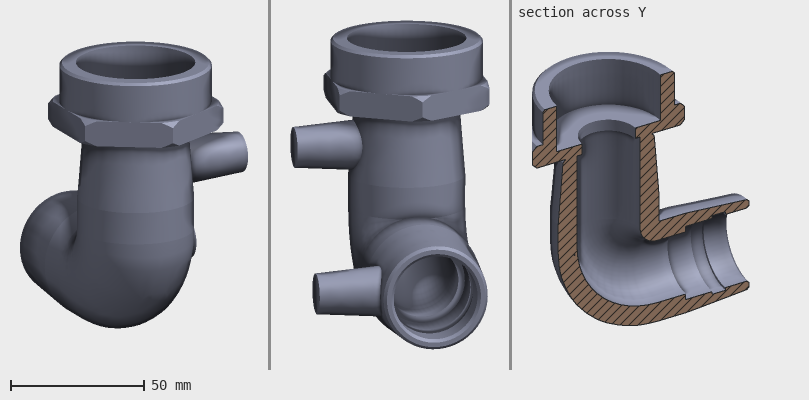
import cadquery as cq
import math

pipe_diameter = 44.0
pipe_radius = pipe_diameter / 2
bore_diameter = 27.1
bend_radius = 21.3
taper_start = 33.5
leg_length = 61.0
tip_chamfer = 1.1
tip_radius = 19.9

mouth_diameter = 34.1
socket_diameter = 32.0
socket_depth = leg_length - taper_start
groove_diameter = 34.3
groove_start = 10.5
groove_end = 16.1

nut_diameter = 57.2
nut_bottom = 61.2
hex_height = 9.7
overall_height = 108.0
nut_top = overall_height - pipe_radius
hex_chamfer = 1.9
collar_chamfer = 1.0
recess_diameter = 44.8
recess_depth = 20.0
nut_bore_diameter = 23.0

spigot_offset = 45.7
spigot_tip_y = 43.0
spigot_tip_diameter = 15.3
spigot_taper_angle = 4.4


def leg_body(length):
    """Solid leg along +Z, from the end of the bend to its chamfered tip."""
    return (
        cq.Workplane("XZ")
        .moveTo(0, bend_radius)
        .lineTo(pipe_radius, bend_radius)
        .lineTo(pipe_radius, taper_start)
        .lineTo(tip_radius, length - tip_chamfer)
        .lineTo(tip_radius - tip_chamfer, length)
        .lineTo(0, length)
        .close()
        .revolve(360, (0, 0, 0), (0, 1, 0))
    )


def to_horizontal(leg):
    """Swing a leg from +Z to -X."""
    return leg.rotate((0, 0, 0), (0, 1, 0), -90)


def bend(diameter):
    """Quarter bend; its section is cut off where it would pass the bend axis."""
    radius = diameter / 2
    section = cq.Workplane("YZ", origin=(-bend_radius, 0, 0))
    if radius <= bend_radius:
        section = section.circle(radius)
    else:
        half_cut = math.sqrt(radius**2 - bend_radius**2)
        section = (
            section.moveTo(-half_cut, bend_radius)
            .threePointArc((0, -radius), (half_cut, bend_radius))
            .close()
        )
    return section.revolve(90, (0, bend_radius, 0), (-1, bend_radius, 0))


def nut():
    """Hexagon with bevelled corners, below a round collar."""
    corner_radius = nut_diameter / math.sqrt(3)
    hexagon = (
        cq.Workplane("XY", origin=(0, 0, nut_bottom))
        .polygon(6, 2 * corner_radius)
        .extrude(hex_height)
    )
    corner_bevel = (
        cq.Workplane("XY", origin=(0, 0, nut_bottom))
        .circle(corner_radius)
        .extrude(hex_height)
        .edges()
        .chamfer(hex_chamfer)
    )
    collar = (
        cq.Workplane("XY", origin=(0, 0, nut_bottom + hex_height))
        .circle(nut_diameter / 2)
        .extrude(nut_top - nut_bottom - hex_height)
        .faces(">Z")
        .edges()
        .chamfer(collar_chamfer)
    )
    return hexagon.intersect(corner_bevel).union(collar)


def spigot(x, z):
    """Tapered solid stub from the leg axis to the outer tip."""
    growth = spigot_tip_y * math.tan(math.radians(spigot_taper_angle))
    end_radius = spigot_tip_diameter / 2
    cone = cq.Solid.makeCone(
        end_radius + growth, end_radius, spigot_tip_y, cq.Vector(x, 0, z), cq.Vector(0, 1, 0)
    )
    return cq.Workplane(cone)


def bore(start, end, diameter):
    """Round cutter along +Z between two heights."""
    return cq.Workplane("XY", origin=(0, 0, start)).circle(diameter / 2).extrude(end - start)


def socket():
    """Cutter along +Z: straight seat, ring groove and countersunk mouth."""
    mouth_depth = (mouth_diameter - socket_diameter) / 2
    seat = bore(leg_length - socket_depth, leg_length, socket_diameter)
    groove = bore(leg_length - groove_end, leg_length - groove_start, groove_diameter)
    mouth = cq.Solid.makeCone(
        socket_diameter / 2, mouth_diameter / 2, mouth_depth, cq.Vector(0, 0, leg_length - mouth_depth)
    )
    return seat.union(groove).union(cq.Workplane(mouth))


body = bend(pipe_diameter).union(leg_body(nut_bottom)).union(to_horizontal(leg_body(leg_length)))
body = body.union(spigot(-spigot_offset, 0)).union(spigot(0, spigot_offset)).union(nut())

recess_floor = nut_top - recess_depth
body = body.cut(bend(bore_diameter))
body = body.cut(bore(bend_radius, nut_bottom, bore_diameter))
body = body.cut(to_horizontal(bore(bend_radius, leg_length, bore_diameter)))
body = body.cut(to_horizontal(socket()))
body = body.cut(bore(nut_bottom, recess_floor, nut_bore_diameter))
result = body.cut(bore(recess_floor, nut_top, recess_diameter))